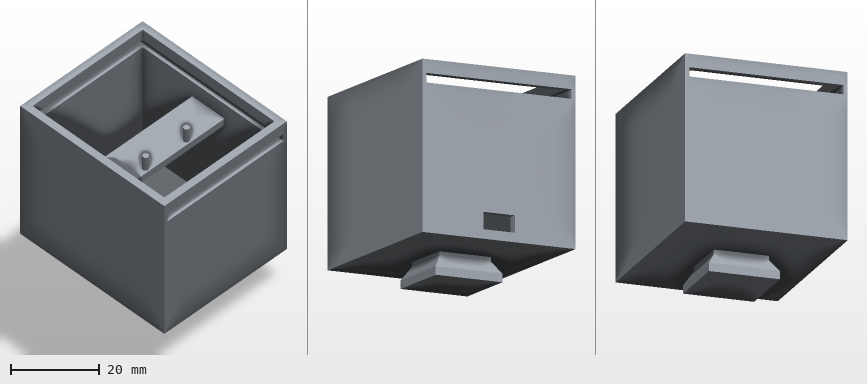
import cadquery as cq

box_length = 46.0
box_width = 39.0
wall = 2.0
floor = 2.0

neck_side = 13.1
neck_height = 1.0
foot_side = 17.0
taper_height = 3.0
foot_height = 2.0
total_height = 46.0
box_height = total_height - neck_height - taper_height - foot_height

slot_width = 37.0
slot_height = 2.2
slot_top_gap = 3.2

window_width = 8.0
window_height = 4.0
window_bottom = 2.2

bridge_length = 10.3
bridge_thickness = 2.0
bridge_depth = 10.0
bridge_top = box_height - bridge_depth
pin_diameter = 1.5
pin_height = 4.0
pin_x = 4.0
pin_spacing = 13.0

cavity_length = box_length - 2 * wall
cavity_width = box_width - 2 * wall


def block(length, width, height, bottom, x=0):
    """Box centred on Y = 0 and standing on the given Z level."""
    standing = cq.Workplane("XY").box(length, width, height, centered=(True, True, False))
    return standing.translate((x, 0, bottom))


def make_shell():
    shell = block(box_length, box_width, box_height, 0)
    cavity = block(cavity_length, cavity_width, box_height - floor, floor)
    slot = block(box_length, slot_width, slot_height, box_height - slot_top_gap - slot_height)
    window = block(wall, window_width, window_height, window_bottom, (wall - box_length) / 2)
    return shell.cut(cavity).cut(slot).cut(window)


def make_bridge():
    bridge = block(bridge_length, cavity_width, bridge_thickness, bridge_top - bridge_thickness)
    pins = (
        cq.Workplane("XY", origin=(pin_x, 0, bridge_top))
        .rarray(0.45, pin_spacing, 1, 2)
        .circle(pin_diameter / 2)
        .extrude(pin_height)
    )
    return bridge.union(pins)


def make_foot():
    neck = block(neck_side, neck_side, neck_height, -neck_height)
    taper = (
        cq.Workplane("XY", origin=(0, 0, -neck_height))
        .rect(neck_side, neck_side)
        .workplane(offset=-taper_height)
        .rect(foot_side, foot_side)
        .loft()
    )
    base = block(foot_side, foot_side, foot_height, -neck_height - taper_height - foot_height)
    return neck.union(taper).union(base)


result = make_shell().union(make_bridge()).union(make_foot())